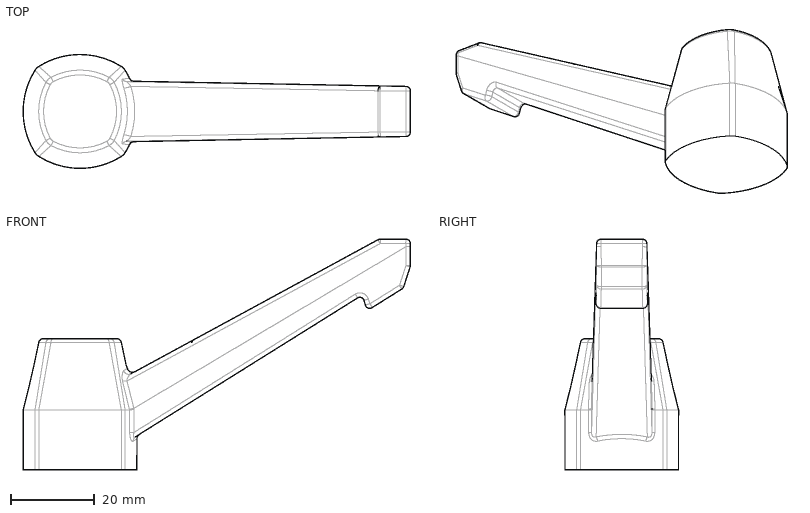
import cadquery as cq
import math

HUB_HALF_WIDTH = 13.635
HUB_SIDE_RADIUS = 18.5
HUB_CORNER_RADIUS = 3.0
HUB_STRAIGHT_HEIGHT = 14.3
HUB_HEIGHT = 31.4
HUB_DRAFT = 13.0
HUB_TOP_FILLET = 1.2

OVERALL_LENGTH = 92.64
TIP_X = OVERALL_LENGTH - HUB_HALF_WIDTH
ARM_TOP_Z = 55.2
TOP_CORNER_X = 71.5
TOP_SLOPE = 28.5
UNDERSIDE_SLOPE = 32.0
ROOT_X = 6.0
NOTCH_X = 67.5
NOTCH_Z = 41.8
HOOK_X = 68.6
HOOK_Z = 38.0
TIP_LOW_X = 77.3
TIP_FLAT_LOW_Z = 48.7
PARTING_TIP_Z = 54.0
NOTCH_RADIUS = 1.0
ARM_EDGE_FILLET = 1.1
ROOT_FILLET = 1.2

PARTING_HALF_WIDTH_AT_HUB = 7.27
PARTING_HALF_WIDTH_AT_TIP = 6.0
SIDE_DRAFT = 1.0
BLANK_HALF_DEPTH = 24.0
BLANK_OVERHANG = 20.0
MATCH_TOLERANCE = 0.01

HUB_ARC_OFFSET = HUB_SIDE_RADIUS - HUB_HALF_WIDTH
PARTING_HUB_X = math.sqrt(HUB_SIDE_RADIUS**2 - PARTING_HALF_WIDTH_AT_HUB**2) - HUB_ARC_OFFSET
PARTING_RUN = TIP_X - PARTING_HUB_X
PARTING_RISE = PARTING_TIP_Z - HUB_STRAIGHT_HEIGHT


def tangent(degrees):
    return math.tan(math.radians(degrees))


def rounded_square(half_width):
    """Four equal arcs meeting at the diagonals, centred on the Z axis."""
    side_radius = half_width + HUB_ARC_OFFSET
    corner = (math.sqrt(2 * side_radius**2 - HUB_ARC_OFFSET**2) - HUB_ARC_OFFSET) / 2
    return (
        cq.Workplane("XY")
        .moveTo(corner, -corner)
        .threePointArc((half_width, 0), (corner, corner))
        .threePointArc((0, half_width), (-corner, corner))
        .threePointArc((-half_width, 0), (-corner, -corner))
        .threePointArc((0, -half_width), (corner, -corner))
        .close()
    )


def round_hub_corners(hub):
    def is_corner(edge):
        middle = edge.Center()
        on_diagonal = abs(abs(middle.x) - abs(middle.y)) < MATCH_TOLERANCE
        return on_diagonal and abs(middle.x) > MATCH_TOLERANCE

    return hub.newObject(hub.edges().filter(is_corner).vals()).fillet(HUB_CORNER_RADIUS)


def make_straight_hub():
    """Full-height hub with upright sides."""
    return round_hub_corners(rounded_square(HUB_HALF_WIDTH).extrude(HUB_HEIGHT))


def make_drafted_hub():
    """Full-height hub with drafted sides, as wide as the straight hub where the draft starts."""
    base_half_width = HUB_HALF_WIDTH + HUB_STRAIGHT_HEIGHT * tangent(HUB_DRAFT)
    hub = round_hub_corners(rounded_square(base_half_width).extrude(HUB_HEIGHT, taper=HUB_DRAFT))
    return hub.faces(">Z").edges().fillet(HUB_TOP_FILLET)


def make_arm_outline():
    """Side outline of the arm, extruded wider than the arm itself."""
    root_top_z = ARM_TOP_Z - (TOP_CORNER_X - ROOT_X) * tangent(TOP_SLOPE)
    root_low_z = NOTCH_Z - (NOTCH_X - ROOT_X) * tangent(UNDERSIDE_SLOPE)
    tip_low_z = HOOK_Z + (TIP_LOW_X - HOOK_X) * tangent(UNDERSIDE_SLOPE)
    outer_corners = [
        (HOOK_X, HOOK_Z),
        (TIP_LOW_X, tip_low_z),
        (TIP_X, TIP_FLAT_LOW_Z),
        (TIP_X, ARM_TOP_Z),
        (TOP_CORNER_X, ARM_TOP_Z),
    ]
    points = [(ROOT_X, root_low_z), (NOTCH_X, NOTCH_Z), *outer_corners, (ROOT_X, root_top_z)]
    body = cq.Workplane("XZ").polyline(points).close().extrude(HUB_HALF_WIDTH, both=True)
    notch = cq.selectors.NearestToPointSelector((NOTCH_X, 0, NOTCH_Z))
    body = body.edges("|Y").edges(notch).fillet(NOTCH_RADIUS)
    for x, z in outer_corners:
        corner = cq.selectors.NearestToPointSelector((x, 0, z))
        body = body.edges("|Y").edges(corner).fillet(ARM_EDGE_FILLET)
    return body


def make_arm_blank():
    """Six-sided bar along the parting line, widest on that line."""
    plane = cq.Plane(
        origin=(TIP_X, 0, PARTING_TIP_Z),
        xDir=(0, 1, 0),
        normal=(PARTING_RUN, 0, PARTING_RISE),
    )
    arm_length = math.hypot(PARTING_RUN, PARTING_RISE)
    taper = (PARTING_HALF_WIDTH_AT_HUB - PARTING_HALF_WIDTH_AT_TIP) / arm_length
    draft_inset = BLANK_HALF_DEPTH * tangent(SIDE_DRAFT)

    def section(half_width):
        narrow = half_width - draft_inset
        return [
            (half_width, 0),
            (narrow, BLANK_HALF_DEPTH),
            (-narrow, BLANK_HALF_DEPTH),
            (-half_width, 0),
            (-narrow, -BLANK_HALF_DEPTH),
            (narrow, -BLANK_HALF_DEPTH),
        ]

    tip_section = section(PARTING_HALF_WIDTH_AT_TIP - taper * BLANK_OVERHANG)
    hub_section = section(PARTING_HALF_WIDTH_AT_HUB + taper * BLANK_OVERHANG)
    return (
        cq.Workplane(plane)
        .workplane(offset=BLANK_OVERHANG)
        .polyline(tip_section)
        .close()
        .workplane(offset=-(arm_length + 2 * BLANK_OVERHANG))
        .polyline(hub_section)
        .close()
        .loft(ruled=True)
    )


def make_arm():
    arm = make_arm_outline().intersect(make_arm_blank())

    def is_rim(edge):
        """Edges that bound the arm's sides, leaving out the parting line and the buried end."""
        middle = edge.Center()
        parting_z = PARTING_TIP_Z - (TIP_X - middle.x) * PARTING_RISE / PARTING_RUN
        at_parting = abs(middle.z - parting_z) < MATCH_TOLERANCE
        at_side = abs(middle.y) > PARTING_HALF_WIDTH_AT_TIP / 2
        return at_side and not at_parting and middle.x > ROOT_X + MATCH_TOLERANCE

    return arm.newObject(arm.edges().filter(is_rim).vals()).fillet(ARM_EDGE_FILLET)


def join_arm(hub, arm):
    """Join the arm to a hub and fillet the edge all round the arm's root."""
    lever = hub.union(arm)
    hub_skin = hub.val().Shells()[0]
    arm_skin = arm.val().Shells()[0]

    def is_root(edge):
        """Edges of the joint: they lie on both the hub and the arm."""
        middle = edge.positionAt(0.5)
        vertex = cq.Vertex.makeVertex(middle.x, middle.y, middle.z)
        on_hub = vertex.distance(hub_skin) < MATCH_TOLERANCE
        on_arm = vertex.distance(arm_skin) < MATCH_TOLERANCE
        return on_hub and on_arm

    return lever.newObject(lever.edges().filter(is_root).vals()).fillet(ROOT_FILLET)


def make_lever():
    """The two hubs share the arm; their common volume is straight below and drafted above."""
    arm = make_arm()
    return join_arm(make_straight_hub(), arm).intersect(join_arm(make_drafted_hub(), arm))


result = make_lever()